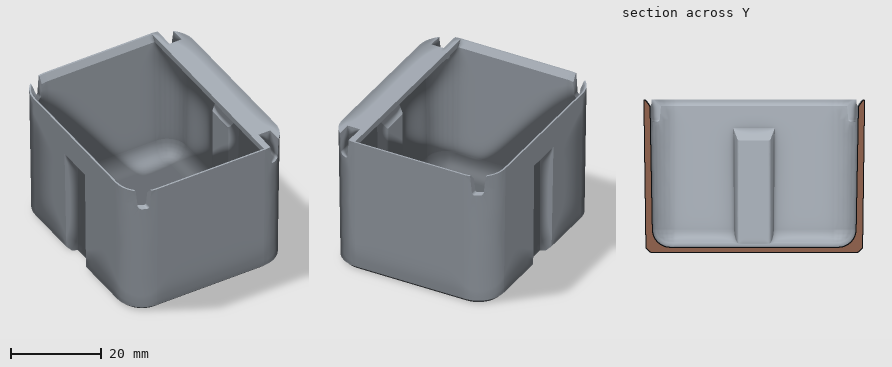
import cadquery as cq
import math

length = 48.8
width = 41.2
height = 33.7
corner_radius = 6.85
outer_draft = 0.465
base_chamfer = 1.05

rim_inset = 0.4
rim_bevel_depth = 1.45
wall_inset = 1.45
floor_inset = 2.05
floor_thickness = 1.2
floor_fillet = 3.9

shelf_edge_y = width / 2 - corner_radius
shelf_root_y = width / 2 - wall_inset
shelf_root_depth = 8.05

slot_center_y = width / 2 - 3.75
slot_top_width = 3.05
slot_floor_width = 2.2
slot_depth = 5.0
slot_length = 5.3
slot_fillet = 0.65

groove_width = 8.9
groove_floor_width = 6.0
groove_depth = 2.75
groove_top = height - 6.6
groove_floor_top = height - 9.5
rib_width = 9.3
rib_crest_width = 7.1
rib_crest_fillet = 0.6
rib_root_inset = 1.4
rib_crest_inset = 3.65
rib_top = height - 6.15
rib_crest_top = height - 9.1


def tapered_block(inset, top, depth, lean):
    """Rounded block hanging down from `top`, each side leaning in by `lean`."""
    outline = cq.Sketch().rect(length - 2 * inset, width - 2 * inset)
    outline = outline.vertices().fillet(corner_radius - inset)
    angle = math.degrees(math.atan2(lean, depth))
    return cq.Workplane("XY", origin=(0, 0, top)).placeSketch(outline).extrude(-depth, taper=angle)


def make_cavity():
    wall_top = height - rim_bevel_depth
    bevel = tapered_block(rim_inset, height, rim_bevel_depth, wall_inset - rim_inset)
    well = tapered_block(wall_inset, wall_top, wall_top - floor_thickness, floor_inset - wall_inset)
    well = well.faces("<Z").edges().fillet(floor_fillet)
    shelf = (
        cq.Workplane("YZ")
        .moveTo(shelf_edge_y, height)
        .lineTo(width / 2, height)
        .lineTo(width / 2, height - shelf_root_depth)
        .lineTo(shelf_root_y, height - shelf_root_depth)
        .lineTo(shelf_edge_y, height - rim_bevel_depth)
        .close()
        .extrude(length / 2, both=True)
    )
    return bevel.union(well).cut(shelf)


def front_wedge(root_inset, root_width, root_top, crest_inset, crest_width, crest_top):
    """Flat-topped wedge growing inward from the front wall, with a sloped upper end."""
    def section(inset, section_width, top):
        plane = cq.Workplane("XZ", origin=(0, inset - width / 2, 0))
        return plane.center(0, top / 2).rect(section_width, top).wires().val()

    root = section(root_inset, root_width, root_top)
    crest = section(crest_inset, crest_width, crest_top)
    return cq.Workplane(obj=cq.Solid.makeLoft([root, crest], True))


def make_slot(side):
    """Slot across a back corner; side is -1 for left and 1 for right."""
    slot = (
        cq.Workplane("YZ", origin=(side * (length / 2 - slot_length), 0, 0))
        .moveTo(slot_center_y - slot_top_width / 2, height)
        .lineTo(slot_center_y - slot_floor_width / 2, height - slot_depth)
        .lineTo(slot_center_y + slot_floor_width / 2, height - slot_depth)
        .lineTo(slot_center_y + slot_top_width / 2, height)
        .close()
        .extrude(side * slot_length)
    )
    return slot.faces("<Z").edges("|X").fillet(slot_fillet)


body = tapered_block(0, height, height, outer_draft)
body = body.faces("<Z").edges().chamfer(base_chamfer)

rib = front_wedge(rib_root_inset, rib_width, rib_top, rib_crest_inset, rib_crest_width, rib_crest_top)
rib = rib.faces(">Y").edges("|Z").fillet(rib_crest_fillet)
groove = front_wedge(0, groove_width, groove_top, groove_depth, groove_floor_width, groove_floor_top)

cavity = make_cavity().cut(rib).cut(rib.mirror("XZ"))
result = body.cut(cavity).cut(groove).cut(groove.mirror("XZ"))

for side in (-1, 1):
    slot = make_slot(side)
    result = result.cut(slot).cut(slot.mirror("XZ"))